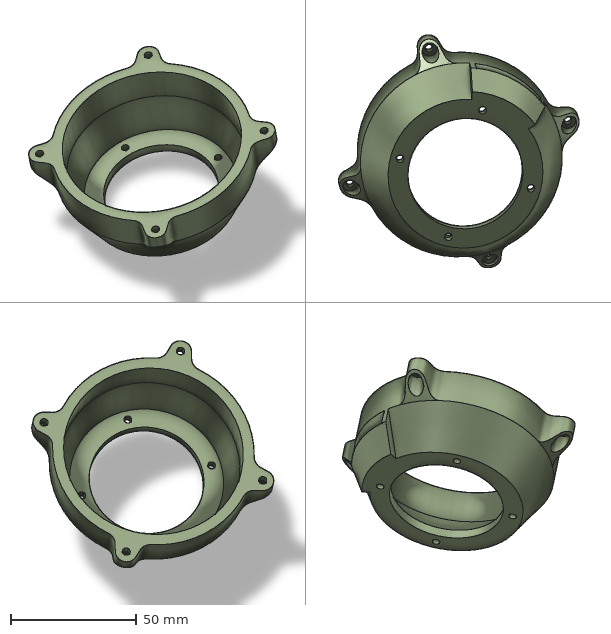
import cadquery as cq
import math

tilt = 10.0

total_height = 34.0
rim_height = 15.0
cone_height = total_height - rim_height
rim_radius = 80.8 / 2
base_radius = 31.0
bore_radius = 72.0 / 2
floor_thickness = 4.0
floor_radius = 30.8
floor_hole_radius = 46.0 / 2
cone_slope = (rim_radius - base_radius) / cone_height

floor_screw_diameter = 3.0
floor_screw_circle = 27.1
floor_screw_angle = 75.0

ear_spacing = 63.8
ear_distance = ear_spacing / math.sqrt(2)
ear_radius = 4.4
ear_fillet = 5.0
ear_flank_angle = 15.0
ear_hole_diameter = 3.2
ear_counterbore_diameter = 6.5
ear_seat_depth = 4.0
ear_root = bore_radius + 1.7
ear_angles = [45, 135, 225, 315]

pad_half_angle = 25.0
pad_height = 12.5
pad_thickness = rim_radius - (base_radius + cone_slope * pad_height)
rib_angle = 3.2
pad_root = base_radius - 0.8


def revolve_profile(points):
    """Revolve a closed (radius, height) outline about Z."""
    return cq.Workplane("XZ").polyline(points).close().revolve(360, (0, 0, 0), (0, 1, 0))


def polar(radius, angle):
    """Cartesian position at a radius and an angle in degrees from +X."""
    a = math.radians(angle)
    return radius * math.cos(a), radius * math.sin(a)


def make_outside():
    return revolve_profile([
        (0, 0), (base_radius, 0), (rim_radius, cone_height),
        (rim_radius, total_height), (0, total_height),
    ])


def make_cavity():
    return revolve_profile([
        (0, floor_thickness), (floor_radius, floor_thickness), (bore_radius, cone_height),
        (bore_radius, total_height), (0, total_height),
    ])


def make_ear():
    """One ear pointing along +X: round tip, flaring flanks, fillets onto the rim."""
    along = polar(1, -ear_flank_angle)
    normal = polar(1, 90 - ear_flank_angle)
    offset = ear_distance * normal[0] + ear_radius + ear_fillet
    reach = math.sqrt((rim_radius + ear_fillet) ** 2 - offset ** 2)
    center_x = offset * normal[0] + reach * along[0]
    center_y = offset * normal[1] + reach * along[1]
    center_angle = math.degrees(math.atan2(center_y, center_x))

    rim_x, rim_y = polar(rim_radius, center_angle)
    flank_x = center_x - ear_fillet * normal[0]
    flank_y = center_y - ear_fillet * normal[1]
    tip_x = ear_distance + ear_radius * normal[0]
    tip_y = ear_radius * normal[1]
    middle_angle = (center_angle + 180 + 270 - ear_flank_angle) / 2
    middle_dx, middle_dy = polar(ear_fillet, middle_angle)
    middle_x = center_x + middle_dx
    middle_y = center_y + middle_dy

    ear = (
        cq.Workplane("XY").workplane(offset=cone_height)
        .moveTo(ear_root, rim_y)
        .lineTo(rim_x, rim_y)
        .threePointArc((middle_x, middle_y), (flank_x, flank_y))
        .lineTo(tip_x, tip_y)
        .threePointArc((ear_distance + ear_radius, 0), (tip_x, -tip_y))
        .lineTo(flank_x, -flank_y)
        .threePointArc((middle_x, -middle_y), (rim_x, -rim_y))
        .lineTo(ear_root, -rim_y)
        .close()
        .extrude(rim_height)
    )
    underside = revolve_profile([
        (rim_radius, cone_height),
        (rim_radius + rim_height, cone_height),
        (rim_radius + rim_height, total_height),
    ])
    return ear.cut(underside)


def make_ear_hole():
    """Screw hole with a counterbore open to the underside."""
    seat_height = total_height - ear_seat_depth
    hole = cq.Workplane("XY").center(ear_distance, 0).circle(ear_hole_diameter / 2).extrude(total_height)
    counterbore = (
        cq.Workplane("XY").center(ear_distance, 0)
        .circle(ear_counterbore_diameter / 2).extrude(seat_height)
    )
    return hole.union(counterbore)


def sector(points, start_angle, sweep):
    """Sweep a (radius, height) outline about Z, from start_angle (measured from +X)."""
    body = cq.Workplane("XZ").polyline(points).close().revolve(sweep, (0, 0, 0), (0, 1, 0))
    return body.rotate((0, 0, 0), (0, 0, 1), start_angle)


def make_pad():
    pad = sector([
        (pad_root, 0), (base_radius + pad_thickness, 0),
        (rim_radius, pad_height), (pad_root, pad_height),
    ], 90 - pad_half_angle, 2 * pad_half_angle)
    rib_outline = [
        (base_radius, 0), (base_radius + pad_thickness, 0),
        (rim_radius, pad_height), (rim_radius, cone_height),
    ]
    for start in (90 - pad_half_angle, 90 + pad_half_angle - rib_angle):
        pad = pad.union(sector(rib_outline, start, rib_angle))
    return pad


body = make_outside().union(make_pad())
for angle in ear_angles:
    body = body.union(make_ear().rotate((0, 0, 0), (0, 0, 1), angle))
    body = body.cut(make_ear_hole().rotate((0, 0, 0), (0, 0, 1), angle))

body = body.cut(make_cavity())
body = body.cut(cq.Workplane("XY").circle(floor_hole_radius).extrude(floor_thickness))
floor_screws = (
    cq.Workplane("XY")
    .polarArray(floor_screw_circle, floor_screw_angle, 360, 4)
    .circle(floor_screw_diameter / 2)
    .extrude(floor_thickness)
)
body = body.cut(floor_screws)

result = body.rotate((0, 0, 0), (1, 0, 0), tilt)